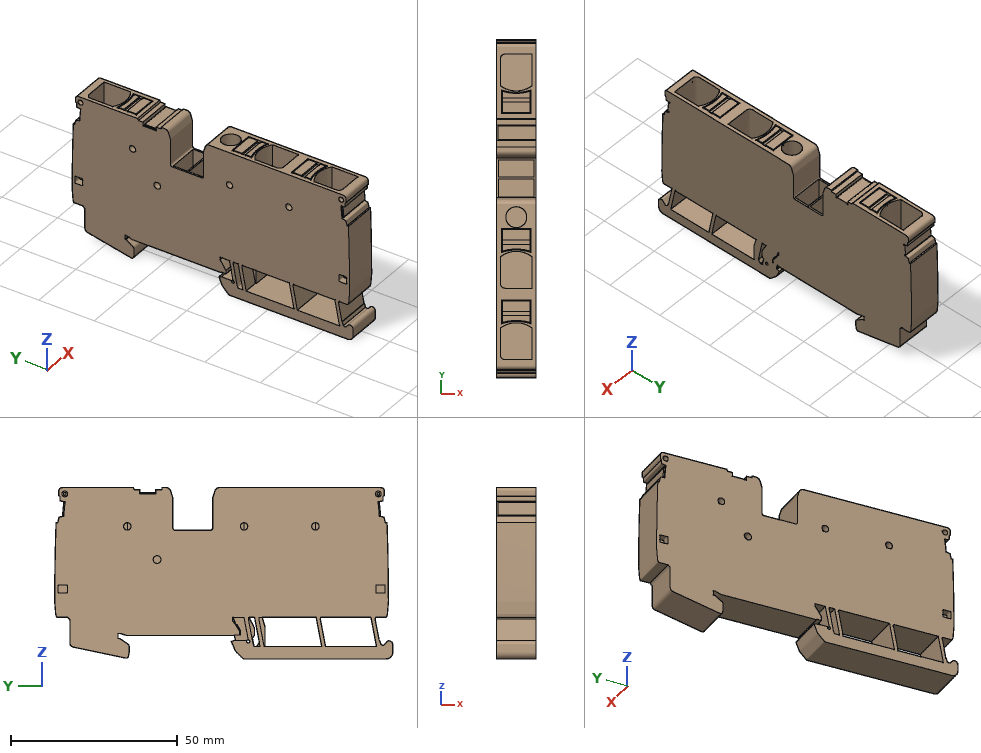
import cadquery as cq
import math

WIDTH = 12.0
LENGTH = 101.5
HEIGHT = 51.5

HOUSING_FRONT = 1.3
HOUSING_BASE = 12.5
END_BULGE_RADIUS = 680.0
HOUSING_MIDDLE = (HOUSING_FRONT + LENGTH) / 2

SEAT_STRIP = 0.5
SEAT_GROOVE = 0.3
SEAT_STEP = 0.4

END_SEAT_LOW = 42.8
END_SEAT_HIGH = 47.2
END_SEAT_LOW_PLACE = 3.7
END_SEAT_HIGH_PLACE = 4.1

NOTCH_BACK = 77.5
NOTCH_FRONT = 69.3
NOTCH_DEPTH = 0.6
NOTCH_SLANT = 0.3
MARKER_BACK = 75.9
MARKER_FRONT = 71.1
MARKER_DEPTH = 1.5

TROUGH_BACK = 66.0
TROUGH_FRONT = 54.1
TROUGH_FLOOR = 38.7
TROUGH_CORNER = 0.6
TROUGH_LIP_WIDTH = 1.9
TROUGH_LIP_HEIGHT = 3.1
LIP_SLOPE_INSET = 0.7
LIP_SLOPE_DROP = 0.9
LIP_CROWN_INSET = 1.2
LIP_CROWN_DROP = 0.3
BRIDGE_MARGIN = 0.6
BRIDGE_FRONT_MARGIN = 0.2
BRIDGE_RIB_PLACE = 60.0
BRIDGE_RIB = 0.5
BRIDGE_DEPTH = 8.1

FUNNEL_LENGTH = 11.1
FUNNEL_SHOULDER = 9.4
FUNNEL_SIDE = 1.2
FUNNEL_CORNER = 1.4
FUNNEL_DEPTH = 15.2
FUNNEL_PITCH = 21.4
FRONT_FUNNEL_END = 5.5
BACK_FUNNEL_END = 97.1
BUTTON_REACH = 17.9
BUTTON_HALF_WIDTH = 4.5
BUTTON_GAP = 0.3
BUTTON_GAP_DEPTH = 1.0
BUTTON_START = 10.7
BUTTON_HOLLOW = 0.8
BUTTON_SLOT_START = 13.2
BUTTON_SLOT_WIDTH = 1.2
BUTTON_SLOT_DEPTH = 0.6

SOCKET_PLACE = 48.2
SOCKET_DIAMETER = 6.3
SOCKET_DEPTH = 15.2

PIN_HEIGHT = 39.8
PIN_PLACES = (79.7, 44.7, 23.2)
PIN_DIAMETER = 2.2
PIN_DEPTH = 2.5
PIN_STEP = 0.3
PLAIN_PIN = (70.7, 29.8)
PLAIN_PIN_DIAMETER = 2.3
END_PIN_INSET = 3.0
END_PIN_HEIGHT = 49.5
END_PIN_DIAMETER = 1.7
END_PIN_CORE = 0.8
SQUARE_INSET = 2.4
SQUARE_HEIGHT = 21.0
SQUARE_LENGTH = 2.7
SQUARE_RISE = 2.5
SQUARE_CORNER = 0.3

CLIP_ROOT = 1.0

FOOT_FLOOR = 3.8
FOOT_LEDGE = 5.6
FOOT_HEEL = 48.5
WEB_LEAN = 1.8
WEB_THICKNESS = 1.2
WEB_TOPS = (44.8, 41.6, 23.1, 6.7)
WEB_ROOT = 0.4
WEB_FLARE = 0.3
WEB_FLARE_HEIGHT = 0.5
FOOT_HOLE = (43.4, 5.3)
FOOT_HOLE_DIAMETER = 0.9

PLATE_START = 5.0


def rounded_prism(corners, depth=WIDTH, start=0.0):
    """Extrude along X an outline of (y, z, corner radius) from x = start."""
    count = len(corners)
    arcs = []
    for i, (y, z, radius) in enumerate(corners):
        here = cq.Vector(y, z)
        before = (cq.Vector(*corners[i - 1][:2]) - here).normalized()
        after = (cq.Vector(*corners[(i + 1) % count][:2]) - here).normalized()
        half = before.getAngle(after) / 2
        if radius == 0:
            arcs.append((here, here, here))
            continue
        setback = radius / math.tan(half)
        bisector = (before + after).normalized()
        middle = here + bisector * (radius / math.sin(half) - radius)
        arcs.append((here + before * setback, middle, here + after * setback))
    outline = cq.Workplane("YZ", origin=(start, 0, 0)).moveTo(*arcs[0][2].toTuple()[:2])
    for first, middle, last in arcs[1:] + arcs[:1]:
        outline = outline.lineTo(*first.toTuple()[:2])
        if first is not last:
            outline = outline.threePointArc(middle.toTuple()[:2], last.toTuple()[:2])
    return outline.close().extrude(depth)


def side_plane(y, z):
    """Sketch plane on the -X face, with its normal pointing into the part."""
    return cq.Workplane("YZ", origin=(0, y, z))


def top_box(x0, x1, y0, y1, top, depth):
    """Box over the given X and Y spans, reaching down from z = top."""
    corner = cq.Workplane("XY", origin=(x0, y0, top - depth))
    return corner.box(x1 - x0, y1 - y0, depth, centered=False)


def mirror_ends(shape):
    """Return the shape together with its copy at the other end of the housing."""
    return shape.union(shape.mirror("XZ", (0, HOUSING_MIDDLE, 0)))


def make_housing():
    front_end = [
        (1.9, HOUSING_BASE, 0.3),
        (1.6, 13.4, 0.4),
        (HOUSING_FRONT, 17.3, 0),
        (HOUSING_FRONT, 29.0, END_BULGE_RADIUS),
        (1.7, 40.9, 0),
        (2.2, 40.9, 0),
        (2.6, 42.5, 0.3),
        (END_SEAT_LOW_PLACE, END_SEAT_LOW, 0),
        (END_SEAT_HIGH_PLACE, END_SEAT_HIGH, 0),
        (2.9, 47.4, 0.3),
        (2.9, 48.7, 0),
        (2.5, 49.1, 0.2),
        (2.5, HEIGHT, 1.1),
    ]
    back_end = [(2 * HOUSING_MIDDLE - y, z, radius) for y, z, radius in reversed(front_end)]
    return rounded_prism(front_end + back_end)


def make_end_seat_groove():
    """Groove bordering the marker seat in the front end of the housing."""
    outline = [
        (HOUSING_FRONT, END_SEAT_LOW, 0),
        (END_SEAT_LOW_PLACE + SEAT_STEP, END_SEAT_LOW, 0),
        (END_SEAT_HIGH_PLACE + SEAT_STEP, END_SEAT_HIGH, 0),
        (HOUSING_FRONT, END_SEAT_HIGH, 0),
    ]
    core_top = END_SEAT_HIGH - SEAT_GROOVE
    core_height = core_top - SEAT_GROOVE - END_SEAT_LOW
    core = top_box(SEAT_STRIP, WIDTH, 0, HOUSING_MIDDLE, core_top, core_height)
    return rounded_prism(outline).cut(core)


def make_top_marker_notch():
    notch_floor = HEIGHT - NOTCH_DEPTH
    notch = rounded_prism([
        (NOTCH_FRONT, HEIGHT, 0),
        (NOTCH_FRONT, notch_floor, 0),
        (NOTCH_BACK, notch_floor, 0),
        (NOTCH_BACK + NOTCH_SLANT, HEIGHT, 0),
    ])
    pocket = top_box(0, WIDTH, MARKER_FRONT, MARKER_BACK, HEIGHT, MARKER_DEPTH + SEAT_STEP)
    seat_top = HEIGHT - MARKER_DEPTH
    seat_front = MARKER_FRONT + SEAT_GROOVE
    seat_back = MARKER_BACK - SEAT_GROOVE
    seat = top_box(SEAT_STRIP, WIDTH, seat_front, seat_back, seat_top, SEAT_STEP)
    return notch.union(pocket.cut(seat))


def make_trough():
    slot = rounded_prism([
        (TROUGH_FRONT, HEIGHT, 0),
        (TROUGH_FRONT, TROUGH_FLOOR, TROUGH_CORNER),
        (TROUGH_BACK, TROUGH_FLOOR, TROUGH_CORNER),
        (TROUGH_BACK, HEIGHT, 0),
    ])
    lip_base = HEIGHT - TROUGH_LIP_HEIGHT
    slope_top = HEIGHT - LIP_SLOPE_DROP
    crown = HEIGHT - LIP_CROWN_DROP
    mouth = (
        side_plane(0, 0)
        .moveTo(TROUGH_FRONT, lip_base)
        .lineTo(TROUGH_FRONT - LIP_SLOPE_INSET, slope_top)
        .threePointArc(
            (TROUGH_FRONT - LIP_CROWN_INSET, crown),
            (TROUGH_FRONT - TROUGH_LIP_WIDTH, HEIGHT),
        )
        .lineTo(TROUGH_BACK + TROUGH_LIP_WIDTH, HEIGHT)
        .threePointArc(
            (TROUGH_BACK + LIP_CROWN_INSET, crown),
            (TROUGH_BACK + LIP_SLOPE_INSET, slope_top),
        )
        .lineTo(TROUGH_BACK, lip_base)
        .close()
        .extrude(WIDTH)
    )
    return slot.union(mouth)


def make_bridge_wells():
    """Two wells sunk in the trough floor, cutting through its corner rounds."""
    first = TROUGH_FRONT + BRIDGE_FRONT_MARGIN
    last = TROUGH_BACK - BRIDGE_MARGIN
    rib_front = BRIDGE_RIB_PLACE - BRIDGE_RIB / 2
    well_top = TROUGH_FLOOR + TROUGH_CORNER
    wells = cq.Workplane("XY")
    for y0, y1 in ((first, rib_front), (rib_front + BRIDGE_RIB, last)):
        wells = wells.union(top_box(BRIDGE_MARGIN, WIDTH - BRIDGE_MARGIN, y0, y1, well_top, BRIDGE_DEPTH))
    return wells


def make_terminal(end, direction):
    """Wire funnel starting at y = end and running along direction, with its release button."""
    def along(distance):
        return end + direction * distance

    middle = WIDTH / 2
    low, high = FUNNEL_SIDE, WIDTH - FUNNEL_SIDE
    top = cq.Workplane("XY", origin=(0, 0, HEIGHT))

    def bulged_prism(shoulder, tip, depth):
        return (
            top.moveTo(low, end)
            .lineTo(high, end)
            .lineTo(high, along(shoulder))
            .threePointArc((middle, along(tip)), (low, along(shoulder)))
            .close()
            .extrude(-depth)
        )

    corner = cq.selectors.NearestToPointSelector((low, end, HEIGHT - FUNNEL_DEPTH / 2))
    funnel = bulged_prism(FUNNEL_SHOULDER, FUNNEL_LENGTH, FUNNEL_DEPTH).edges(corner).fillet(FUNNEL_CORNER)

    def button_block(inset, start, stop, depth):
        y0, y1 = sorted((along(start), along(stop)))
        half = BUTTON_HALF_WIDTH - inset
        return top_box(middle - half, middle + half, y0, y1, HEIGHT, depth)

    tip = BUTTON_START + BUTTON_HOLLOW
    rim = button_block(0, BUTTON_START, BUTTON_REACH, BUTTON_GAP_DEPTH)
    rim = rim.cut(bulged_prism(BUTTON_START, tip, BUTTON_GAP_DEPTH))
    core = button_block(BUTTON_GAP, BUTTON_START, BUTTON_REACH - BUTTON_GAP, BUTTON_GAP_DEPTH)
    core = core.cut(bulged_prism(BUTTON_START + BUTTON_GAP, tip + BUTTON_GAP, BUTTON_GAP_DEPTH))
    slot_end = BUTTON_SLOT_START + BUTTON_SLOT_WIDTH
    slot = button_block(BUTTON_GAP, BUTTON_SLOT_START, slot_end, BUTTON_SLOT_DEPTH)
    return funnel.union(rim.cut(core)).union(slot)


def make_side_sockets():
    sockets = side_plane(*PLAIN_PIN).circle(PLAIN_PIN_DIAMETER / 2).extrude(PIN_DEPTH)
    for place in PIN_PLACES:
        pin = side_plane(place, PIN_HEIGHT).circle(PIN_DIAMETER / 2).extrude(PIN_DEPTH + PIN_STEP)
        ledge = (
            side_plane(place + PIN_DIAMETER / 2, PIN_HEIGHT)
            .rect(PIN_DIAMETER, PIN_DIAMETER)
            .extrude(PIN_STEP)
            .translate((PIN_DEPTH, 0, 0))
        )
        sockets = sockets.union(pin.cut(ledge))
    end_place = side_plane(HOUSING_FRONT + END_PIN_INSET, END_PIN_HEIGHT)
    end_pin = end_place.circle(END_PIN_DIAMETER / 2).extrude(PIN_DEPTH)
    end_core = end_place.circle(END_PIN_CORE / 2).extrude(PIN_DEPTH + PIN_STEP)
    square = (
        side_plane(HOUSING_FRONT + SQUARE_INSET, SQUARE_HEIGHT)
        .rect(SQUARE_LENGTH, SQUARE_RISE)
        .extrude(PIN_DEPTH)
        .edges("|X")
        .fillet(SQUARE_CORNER)
    )
    return sockets.union(mirror_ends(end_pin.union(end_core).union(square)))


def make_rail_clip():
    """Fixed rail claw at the back and hook at the middle, below the housing."""
    return rounded_prism([
        (97.6, HOUSING_BASE + CLIP_ROOT, 0),
        (97.6, HOUSING_BASE, 0),
        (96.9, 11.8, 0.3),
        (96.9, 3.8, 1.3),
        (79.5, 0.1, 0.7),
        (79.1, 2.0, 0),
        (79.1, 4.3, 1.2),
        (82.0, 6.2, 0),
        (82.4, 6.2, 0),
        (82.4, 7.6, 0),
        (81.7, 7.6, 0),
        (79.8, 7.0, 0),
        (47.7, 7.0, 0),
        (47.5, 7.2, 0),
        (46.0, 7.2, 0),
        (46.0, 8.4, 0),
        (47.2, 10.4, 0),
        (48.1, 11.6, 0),
        (48.1, HOUSING_BASE + CLIP_ROOT, 0),
    ])


def make_foot():
    return rounded_prism([
        (FOOT_HEEL, 5.3, 0),
        (47.6, FOOT_LEDGE, 0),
        (42.3, FOOT_LEDGE, 0),
        (41.6, FOOT_FLOOR, 0.2),
        (4.6, FOOT_FLOOR, 0),
        (4.3, FOOT_LEDGE, 0),
        (4.0, FOOT_LEDGE, 0),
        (3.6, 4.4, 0),
        (2.8, 4.1, 0.4),
        (1.5, 5.5, 0.4),
        (0, 5.5, 1.2),
        (0, 0, 2.0),
        (44.9, 0, 0.6),
        (47.3, 2.4, 1.5),
    ])


def make_webs():
    """Slanted webs from foot to housing, each flared at its front upper edge."""
    base = FOOT_FLOOR - WEB_ROOT
    top = HOUSING_BASE + WEB_ROOT
    flare_lean = WEB_LEAN * (WEB_ROOT + WEB_FLARE_HEIGHT) / (top - base)
    webs = cq.Workplane("XY")
    for place in WEB_TOPS:
        webs = webs.union(rounded_prism([
            (place, top, 0),
            (place - WEB_THICKNESS - WEB_FLARE, top, 0),
            (place - WEB_THICKNESS - WEB_FLARE, HOUSING_BASE, 0),
            (place - WEB_THICKNESS - flare_lean, HOUSING_BASE - WEB_FLARE_HEIGHT, 0),
            (place - WEB_LEAN - WEB_THICKNESS, base, 0),
            (place - WEB_LEAN, base, 0),
        ]))
    return webs


def make_plate():
    """Plate behind the first two webs, with a tall curved opening between them."""
    depth = WIDTH - PLATE_START
    base = FOOT_FLOOR - WEB_ROOT
    plate = rounded_prism([
        (48.1, HOUSING_BASE + WEB_ROOT, 0),
        (39.3, HOUSING_BASE + WEB_ROOT, 0),
        (38.4, 9.7, 2.0),
        (38.4, base, 0),
        (46.7, base, 0),
        (47.6, 7.0, 0),
        (47.6, 7.2, 0),
        (45.8, 7.2, 0),
        (45.8, 8.5, 0),
        (46.8, 10.3, 0),
        (47.2, 10.4, 0),
    ], depth, PLATE_START)
    opening = rounded_prism([
        (43.1, HOUSING_BASE, 0),
        (41.3, HOUSING_BASE, 0),
        (39.9, 5.3, 0),
        (40.9, FOOT_FLOOR, 0),
        (41.6, FOOT_FLOOR, 0),
        (42.1, 6.3, 0),
        (41.5, 7.1, 0.5),
        (41.5, 9.3, 1.0),
    ], depth, PLATE_START)
    return plate.cut(opening)


housing = make_housing().cut(mirror_ends(make_end_seat_groove()))
housing = housing.cut(make_top_marker_notch()).cut(make_trough()).cut(make_bridge_wells())

for terminal in (
    make_terminal(FRONT_FUNNEL_END, 1),
    make_terminal(FRONT_FUNNEL_END + FUNNEL_PITCH, 1),
    make_terminal(BACK_FUNNEL_END, -1),
):
    housing = housing.cut(terminal)

socket_top = cq.Workplane("XY", origin=(WIDTH / 2, SOCKET_PLACE, HEIGHT))
housing = housing.cut(socket_top.circle(SOCKET_DIAMETER / 2).extrude(-SOCKET_DEPTH))
housing = housing.cut(make_side_sockets())

foot_hole = side_plane(*FOOT_HOLE).circle(FOOT_HOLE_DIAMETER / 2).extrude(WIDTH)
foot = make_foot().union(make_webs()).union(make_plate()).cut(foot_hole)

result = housing.union(make_rail_clip()).union(foot)